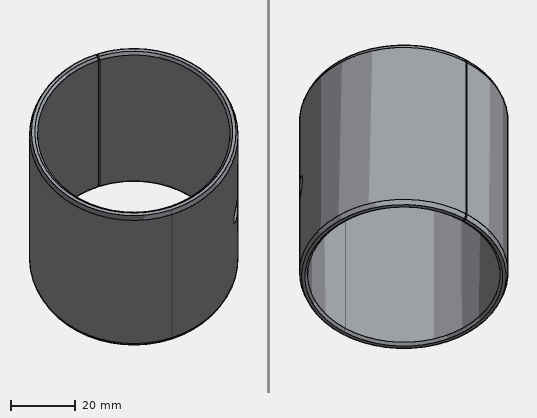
import cadquery as cq

length = 70.0
outer_diameter = 65.0
wall = 2.5
outer_radius = outer_diameter / 2
inner_radius = outer_radius - wall

outer_chamfer_length = 1.7
outer_chamfer_depth = 0.6
inner_chamfer = 0.85

split_width = 0.5
split_offset = 0.3
oil_hole_diameter = 8.0
oil_hole_angle = 59.0


def make_sleeve():
    """Revolve the wall section, chamfered at both ends, about Z."""
    half = length / 2
    section = (
        cq.Workplane("XZ")
        .moveTo(inner_radius, -half + inner_chamfer)
        .lineTo(inner_radius + inner_chamfer, -half)
        .lineTo(outer_radius - outer_chamfer_depth, -half)
        .lineTo(outer_radius, -half + outer_chamfer_length)
        .lineTo(outer_radius, half - outer_chamfer_length)
        .lineTo(outer_radius - outer_chamfer_depth, half)
        .lineTo(inner_radius + inner_chamfer, half)
        .lineTo(inner_radius, half - inner_chamfer)
        .close()
    )
    return section.revolve(360, (0, 0, 0), (0, 1, 0))


def make_split():
    """Full-length slit through the -X wall."""
    slit = cq.Workplane("XY").box(outer_diameter, split_width, length)
    return slit.translate((-outer_radius, split_offset, 0))


def make_oil_hole():
    """Radial hole at mid-length, on the side away from the split."""
    return (
        cq.Workplane("YZ")
        .circle(oil_hole_diameter / 2)
        .extrude(outer_diameter)
        .rotate((0, 0, 0), (0, 0, 1), oil_hole_angle)
    )


result = make_sleeve().cut(make_split()).cut(make_oil_hole())